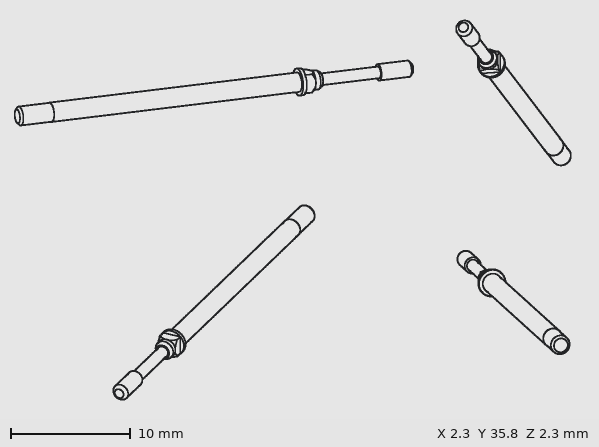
import cadquery as cq

TOTAL_LENGTH = 35.8

TAIL_DIAMETER = 1.6
TAIL_LENGTH = 3.0
TAIL_CHAMFER = 0.2
BARREL_DIAMETER = 1.65
FLANGE_DIAMETER = 2.3
FLANGE_THICKNESS = 0.32

SQUARE_WIDTH = 1.6
SQUARE_LENGTH = 0.95
SQUARE_CONE_LENGTH = 0.35

COLLAR_LENGTH = 0.75
COLLAR_CHAMFER_LENGTH = 0.32
COLLAR_END_DIAMETER = 1.2

STEM_DIAMETER = 1.0
HEAD_DIAMETER = 1.4
HEAD_LENGTH = 3.0
HEAD_CHAMFER = 0.3
PLUNGER_LENGTH = 8.27

COLLAR_FRONT = TOTAL_LENGTH - PLUNGER_LENGTH
SQUARE_FRONT = COLLAR_FRONT - COLLAR_LENGTH
FLANGE_FRONT = SQUARE_FRONT - SQUARE_LENGTH
FLANGE_BACK = FLANGE_FRONT - FLANGE_THICKNESS
HEAD_BACK = TOTAL_LENGTH - HEAD_LENGTH


def cross_section(y):
    """Plane across the pin axis at station y, facing +Y."""
    return cq.Workplane(cq.Plane(origin=(0, y, 0), xDir=(1, 0, 0), normal=(0, 1, 0)))


def cylinder(diameter, start, end):
    return cross_section(start).circle(diameter / 2).extrude(end - start)


def cone(start_diameter, end_diameter, start, end):
    return (
        cross_section(start)
        .circle(start_diameter / 2)
        .workplane(offset=end - start)
        .circle(end_diameter / 2)
        .loft(ruled=True)
    )


def make_barrel():
    tail = cylinder(TAIL_DIAMETER, 0, TAIL_LENGTH).faces("<Y").chamfer(TAIL_CHAMFER)
    tube = cylinder(BARREL_DIAMETER, TAIL_LENGTH, FLANGE_BACK)
    flange = cylinder(FLANGE_DIAMETER, FLANGE_BACK, FLANGE_FRONT)
    return tail.union(tube).union(flange)


def make_square():
    square = cross_section(FLANGE_FRONT).rect(SQUARE_WIDTH, SQUARE_WIDTH).extrude(SQUARE_LENGTH)
    cone_back = SQUARE_FRONT - SQUARE_CONE_LENGTH
    envelope = cylinder(FLANGE_DIAMETER, FLANGE_FRONT, cone_back)
    envelope = envelope.union(cone(FLANGE_DIAMETER, BARREL_DIAMETER, cone_back, SQUARE_FRONT))
    return square.intersect(envelope)


def make_collar():
    chamfer_back = COLLAR_FRONT - COLLAR_CHAMFER_LENGTH
    ring = cylinder(BARREL_DIAMETER, SQUARE_FRONT, chamfer_back)
    return ring.union(cone(BARREL_DIAMETER, COLLAR_END_DIAMETER, chamfer_back, COLLAR_FRONT))


def make_plunger():
    stem = cylinder(STEM_DIAMETER, COLLAR_FRONT, HEAD_BACK)
    head = cylinder(HEAD_DIAMETER, HEAD_BACK, TOTAL_LENGTH).faces(">Y").chamfer(HEAD_CHAMFER)
    return stem.union(head)


result = make_barrel().union(make_square()).union(make_collar()).union(make_plunger())